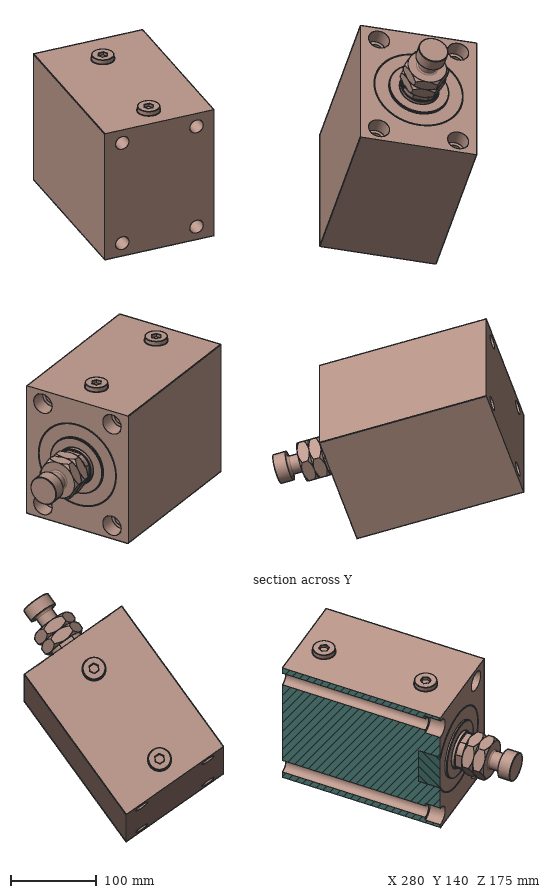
import cadquery as cq
import math

total_length = 280
total_height = 175.0
block_length = 205.0
block_width = 140
block_height = 170.0
block_top = block_height / 2
block_edge_chamfer = 0.5

hole_pitch_y = 95.0
hole_pitch_z = 135.0
hole_diameter = 17.0
counterbore_diameter = 25.2
counterbore_depth = 19.5

gland_diameter = 106.0
gland_depth = 28
seam_chamfer = 0.5
ring_diameter = 72.0
ring_height = 2.8
ring_chamfer = 0.8
rod_bore_chamfer = 1.5

rod_diameter = 45.0
rod_collar_length = 3.5
rod_collar_chamfer = 0.8
spanner_diameter = 44.0
spanner_flats = 40.0
spanner_length = 8.7

hex_flats = 46.2
hex_length = 14.3
hex_count = 2
hex_chamfer_diameter = hex_flats
hex_chamfer_angle = 45
head_diameter = 35.0
head_length = 15.5
head_chamfer = 0.5
neck_diameter = 22.0
head_fillet = 2.8
hex_fillet = 1.7

plug_diameter = 26.3
plug_chamfer = 0.42
plug_rise = total_height - block_height
plug_depth = 11.2
plug_first_x = 42.3
plug_spacing = 132.0
plug_socket_flats = 10.0
plug_socket_depth = 4.0
plug_socket_chamfer = 0.42
spotface_diameter = 28
spotface_depth = 0.8

ring_face = -ring_height
collar_face = ring_face - rod_collar_length
spanner_face = collar_face - spanner_length
hex_face = spanner_face - hex_count * hex_length
head_face = block_length - total_length
head_shoulder = head_face + head_length

plug_positions = [plug_first_x, plug_first_x + plug_spacing]


def axial_cylinder(diameter, start, end):
    """Cylinder on the rod axis between two X stations."""
    return cq.Workplane("YZ", origin=(start, 0, 0)).circle(diameter / 2).extrude(end - start)


def hexagon_corners(flats):
    """Corner-to-corner size of a hexagon with the given width across flats."""
    return flats / math.cos(math.pi / 6)


def make_housing():
    block = cq.Workplane("XY").box(block_length, block_width, block_height)
    block = block.translate((block_length / 2, 0, 0))

    block = block.edges("|X").chamfer(block_edge_chamfer)

    for y in (-hole_pitch_y / 2, hole_pitch_y / 2):
        for z in (-hole_pitch_z / 2, hole_pitch_z / 2):
            hole = axial_cylinder(hole_diameter, 0, block_length)
            counterbore = axial_cylinder(counterbore_diameter, 0, counterbore_depth)
            block = block.cut(hole.union(counterbore).translate((0, y, z)))

    block = block.cut(axial_cylinder(gland_diameter, 0, gland_depth))
    block = block.edges(cq.selectors.RadiusNthSelector(-1)).edges("<X").chamfer(seam_chamfer)

    for x in plug_positions:
        port_centre = cq.Workplane("XY", origin=(x, 0, block_top))
        port = port_centre.circle(plug_diameter / 2).extrude(-plug_depth)
        spotface = port_centre.circle(spotface_diameter / 2).extrude(-spotface_depth)
        block = block.cut(port.union(spotface))
    return block


def make_gland():
    flange = axial_cylinder(gland_diameter, 0, gland_depth).faces("<X").edges().chamfer(seam_chamfer)
    ring = axial_cylinder(ring_diameter, ring_face, 0).faces("<X").edges().chamfer(ring_chamfer)
    rod_bore = axial_cylinder(rod_diameter, ring_face, gland_depth)
    gland = flange.union(ring).cut(rod_bore)
    bore_mouth = gland.faces("<X").edges(cq.selectors.RadiusNthSelector(0))
    return bore_mouth.chamfer(rod_bore_chamfer)


def make_rod():
    shank = axial_cylinder(rod_diameter, collar_face, gland_depth)
    shank = shank.faces("<X").edges().chamfer(rod_collar_chamfer)
    square = (
        cq.Workplane("YZ", origin=(spanner_face, 0, 0))
        .rect(spanner_flats, spanner_flats)
        .extrude(spanner_length)
    )
    spanner_end = axial_cylinder(spanner_diameter, spanner_face, collar_face).intersect(square)
    return shank.union(spanner_end)


def chamfered_hexagon(start):
    """Hexagon on the rod axis, corners toward +-Y, bevelled by a cone at both ends."""
    corners = hexagon_corners(hex_flats)
    prism = cq.Workplane("YZ", origin=(start, 0, 0)).polygon(6, corners).extrude(hex_length)
    chamfer_height = (corners - hex_chamfer_diameter) / 2
    chamfer_length = chamfer_height / math.tan(math.radians(hex_chamfer_angle))
    envelope = axial_cylinder(corners, start, start + hex_length)
    envelope = envelope.faces("<X").edges().chamfer(chamfer_length, chamfer_height)
    envelope = envelope.faces(">X").edges().chamfer(chamfer_length, chamfer_height)
    return prism.intersect(envelope)


def make_coupling():
    neck_radius = neck_diameter / 2
    head_radius = head_diameter / 2
    coupling = (
        cq.Workplane("XY")
        .moveTo(head_face, 0)
        .lineTo(head_face, head_radius - head_chamfer)
        .lineTo(head_face + head_chamfer, head_radius)
        .lineTo(head_shoulder, head_radius)
        .lineTo(head_shoulder, neck_radius + head_fillet)
        .radiusArc((head_shoulder + head_fillet, neck_radius), -head_fillet)
        .lineTo(hex_face - hex_fillet, neck_radius)
        .radiusArc((hex_face, neck_radius + hex_fillet), -hex_fillet)
        .lineTo(hex_face, 0)
        .close()
        .revolve(360, (0, 0, 0), (1, 0, 0))
    )
    for index in range(hex_count):
        coupling = coupling.union(chamfered_hexagon(hex_face + index * hex_length))
    return coupling


def make_plug(x):
    plug_top = block_top + plug_rise
    plug = cq.Workplane("XY", origin=(x, 0, block_top - plug_depth)).circle(plug_diameter / 2)
    plug = plug.extrude(plug_depth + plug_rise).faces(">Z").edges().chamfer(plug_chamfer)
    socket = (
        cq.Workplane("XY", origin=(x, 0, plug_top))
        .transformed(rotate=(0, 0, 90))
        .polygon(6, hexagon_corners(plug_socket_flats))
        .extrude(-plug_socket_depth)
    )
    socket_edges = plug.cut(socket).faces(">Z").edges("%LINE")
    return socket_edges.chamfer(plug_socket_chamfer)


housing = make_housing()
gland = make_gland()
rod = make_rod()
coupling = make_coupling()
plugs = [make_plug(x) for x in plug_positions]

result = cq.Compound.makeCompound(
    [housing.val(), gland.val(), rod.val(), coupling.val(), *[plug.val() for plug in plugs]]
)